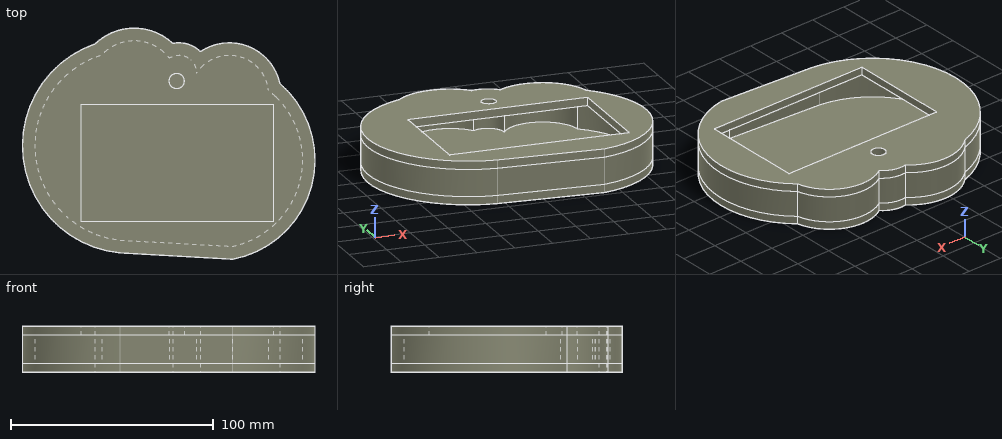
import cadquery as cq
import math

total_height = 22.8
plate_thickness = 4.3
frame_height = total_height - 2 * plate_thickness
wall_thickness = 6.2

left_lobe = (-19.1, -1.0, 53.2)
top_bump = (-17.0, 29.2, 27.9)
small_bump = (5.0, 35.0, 14.9)
right_bump = (30.0, 24.3, 25.6)
right_lobe = (22.4, -8.1, 49.9)

straight_edge_left_x = -24.0
straight_edge_right_x = 31.5

window_width = 95.0
window_height = 57.5
window_center = (4.2, -9.5)
hole_diameter = 7.5
hole_center = (3.9, 31.0)


def shrink(lobe, inset):
    """Reduce the radius of a lobe, keeping its centre."""
    x, y, radius = lobe
    return x, y, radius - inset


def upper_crossing(first, second):
    """Crossing of two lobes on the left of the way from first to second centre."""
    x1, y1, r1 = first
    x2, y2, r2 = second
    distance = math.hypot(x2 - x1, y2 - y1)
    along = (r1**2 - r2**2 + distance**2) / (2 * distance)
    across = math.sqrt(r1**2 - along**2)
    ux, uy = (x2 - x1) / distance, (y2 - y1) / distance
    return x1 + along * ux - across * uy, y1 + along * uy + across * ux


def bottom_point(lobe, x):
    """Point on the lower half of a lobe at the given x."""
    center_x, center_y, radius = lobe
    return x, center_y - math.sqrt(radius**2 - (x - center_x) ** 2)


def clockwise_midpoint(lobe, start, end):
    """Middle point of the clockwise arc from start to end on a lobe."""
    x, y, radius = lobe
    start_angle = math.atan2(start[1] - y, start[0] - x)
    end_angle = math.atan2(end[1] - y, end[0] - x)
    sweep = (start_angle - end_angle) % (2 * math.pi)
    middle_angle = start_angle - sweep / 2
    return x + radius * math.cos(middle_angle), y + radius * math.sin(middle_angle)


def lobed_block(base_z, height, inset=0):
    """Prism with the lobed outline, moved inward by inset."""
    lobes = [
        shrink(lobe, inset)
        for lobe in (left_lobe, top_bump, small_bump, right_bump, right_lobe)
    ]
    corners = [bottom_point(lobes[0], straight_edge_left_x)]
    for lobe, next_lobe in zip(lobes, lobes[1:]):
        corners.append(upper_crossing(lobe, next_lobe))
    corners.append(bottom_point(lobes[-1], straight_edge_right_x))

    outline = cq.Workplane("XY", origin=(0, 0, base_z)).moveTo(*corners[0])
    for lobe, start, end in zip(lobes, corners, corners[1:]):
        outline = outline.threePointArc(clockwise_midpoint(lobe, start, end), end)
    return outline.close().extrude(height)


def make_back_plate():
    return lobed_block(0, plate_thickness)


def make_frame():
    """Hollow ring between the two plates."""
    cavity = lobed_block(plate_thickness, frame_height, wall_thickness)
    return lobed_block(plate_thickness, frame_height).cut(cavity)


def make_front_plate():
    """Front plate with a rectangular window and a round hole through it."""
    base_z = plate_thickness + frame_height
    base_plane = cq.Workplane("XY", origin=(0, 0, base_z))
    window = base_plane.center(*window_center).rect(window_width, window_height).extrude(plate_thickness)
    hole = base_plane.center(*hole_center).circle(hole_diameter / 2).extrude(plate_thickness)
    return lobed_block(base_z, plate_thickness).cut(window).cut(hole)


back_plate = make_back_plate()
frame = make_frame()
front_plate = make_front_plate()

result = cq.Compound.makeCompound([back_plate.val(), frame.val(), front_plate.val()])